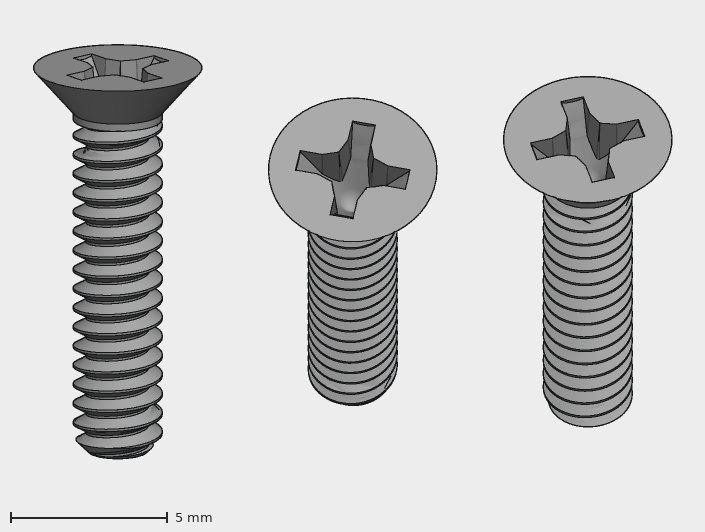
import cadquery as cq
import math

length = 12.7
head_diameter = 5.38
head_angle = 82.0
collar_length = 0.24

major_diameter = 2.845
inch = 25.4
threads_per_inch = 40
pitch = inch / threads_per_inch
crest_flat = pitch / 8
root_flat = pitch / 8
flank_angle = 30.0
ridge_sink = 0.02

point_diameter = 1.9
point_angle = 45.0

recess_span = 3.574
wing_width = 0.742
wing_length = 0.72
core_corner = 0.565
recess_wall_taper = 5.0
recess_cone_diameter = 3.73
recess_cone_slope = 1.33

major_radius = major_diameter / 2
head_radius = head_diameter / 2
point_radius = point_diameter / 2
head_height = (head_radius - major_radius) / math.tan(math.radians(head_angle / 2))
collar_bottom = -head_height - collar_length
flank_slope = math.tan(math.radians(flank_angle))
thread_depth = (pitch - crest_flat - root_flat) / 2 / flank_slope
root_radius = major_radius - thread_depth


def revolve_about_z(outline):
    """Solid of revolution from (radius, Z) points."""
    return cq.Workplane("XZ").polyline(outline).close().revolve(360, (0, 0), (0, 1))


def make_head():
    """Countersunk cone with a short plain collar under it."""
    outline = [
        (0, 0),
        (head_radius, 0),
        (major_radius, -head_height),
        (major_radius, collar_bottom),
        (0, collar_bottom),
    ]
    return revolve_about_z(outline)


def make_thread_ridge():
    """Right-hand helical ridge sunk slightly into the core, overrunning both shank ends."""
    turns_below_collar = math.ceil((length + collar_bottom) / pitch) + 0.5
    turns_above_collar = 1.5
    start_z = collar_bottom - turns_below_collar * pitch
    rise = (turns_below_collar + turns_above_collar) * pitch
    helix = cq.Wire.makeHelix(pitch, rise, root_radius).translate(cq.Vector(0, 0, start_z))
    crest_half = crest_flat / 2
    base_half = crest_half + (thread_depth + ridge_sink) * flank_slope
    base_radius = root_radius - ridge_sink
    profile = [
        (base_radius, start_z - base_half),
        (major_radius, start_z - crest_half),
        (major_radius, start_z + crest_half),
        (base_radius, start_z + base_half),
    ]
    return cq.Workplane("XZ").polyline(profile).close().sweep(cq.Workplane(helix), isFrenet=True)


def make_shank_limits():
    """Solid that trims the thread: flat under the collar, chamfer cone and flat at the point."""
    outer_radius = head_radius
    cone_top = -length + (outer_radius - point_radius) / math.tan(math.radians(point_angle))
    outline = [
        (0, collar_bottom),
        (outer_radius, collar_bottom),
        (outer_radius, cone_top),
        (point_radius, -length),
        (0, -length),
    ]
    return revolve_about_z(outline)


def make_threaded_shank():
    """Root-diameter core with the thread ridge, trimmed to the shank length and chamfered."""
    core_length = length + 2 * pitch
    core = cq.Workplane("XY").circle(root_radius).extrude(-core_length)
    return core.union(make_thread_ridge()).intersect(make_shank_limits())


def make_recess():
    """Tapered cross with bevelled inner corners, bottomed by a cone pointing down the axis."""
    half_span = recess_span / 2
    half_width = wing_width / 2
    wing_root = half_span - wing_length
    quarter = [
        (half_span, half_width),
        (wing_root, half_width),
        (core_corner, core_corner),
        (half_width, wing_root),
        (half_width, half_span),
    ]
    outline = []
    for turn in range(4):
        angle = math.radians(90 * turn)
        for x, y in quarter:
            outline.append((
                x * math.cos(angle) - y * math.sin(angle),
                x * math.sin(angle) + y * math.cos(angle),
            ))
    cone_radius = recess_cone_diameter / 2
    cone_depth = cone_radius * recess_cone_slope
    cross = cq.Workplane("XY").polyline(outline).close().extrude(-cone_depth, taper=recess_wall_taper)
    cone = revolve_about_z([(0, 0), (cone_radius, 0), (0, -cone_depth)])
    return cross.intersect(cone)


result = make_head().union(make_threaded_shank()).cut(make_recess()).solids()